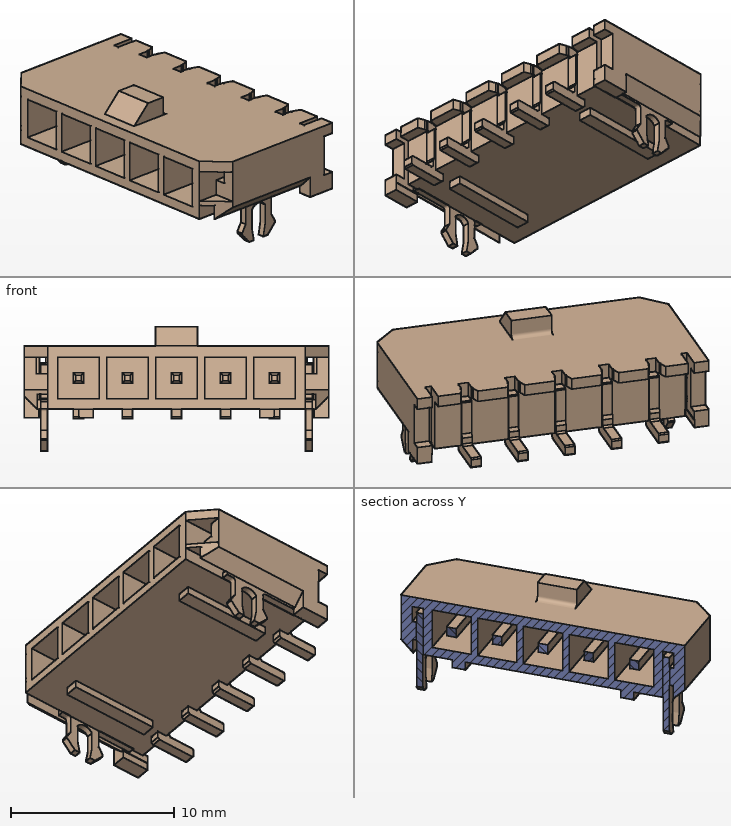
import cadquery as cq
import math

circuits = 5
pitch = 3.0
body_width = 18.65
body_height = 3.87
wall_back = 9.23
roof_back = 9.91
roof_underside = 3.17
corner_chamfer = 1.44
half_width = body_width / 2
pin_places = [(i - (circuits - 1) / 2) * pitch for i in range(circuits)]
sides = (-1, 1)

cavity_size = 2.54
cavity_depth = 7.5
contact_z = 1.91

latch_width = 2.58
latch_top = 5.05
latch_front = 0.80
latch_crest = 2.0
latch_back = 3.28
latch_fillet = 0.28

bevel = 0.8
foot_front = 8.02
foot_inner = 8.4
foot_top = 0.58
standoff_bottom = -0.53
rail_inner, rail_outer = 5.09, 5.97
rail_front, rail_back = 1.71, 7.71

pocket_inner = half_width - corner_chamfer
channel_outer = half_width - bevel
channel_top = 0.92
corner_floor = 1.2
window_outer = 8.57
window_bottom = 2.18
pocket_back = 8.42
rear_slot_inner, rear_slot_outer = 8.0, 8.37

pin_size = 0.64
pin_tip = 2.5
pin_tip_chamfer = 0.16
pin_end = 11.35
pin_post_front = 8.57
pin_post_back = 9.36
pin_post_top = 3.0
pin_top_chamfer = 0.07
pin_bottom = -0.59
pin_heel_back = 9.46
pin_heel_low, pin_heel_high = 0.59, 0.83
pin_bend = 0.12
pin_edge = 0.13
tail_height = 0.67
tail_end_bevel = 0.09

notch_mouth = 1.1
notch_width = 0.76
notch_waist = 9.46
notch_floor = 9.29

clip_thickness = 0.43
clip_top = 2.84
clip_front = 3.1
clip_top_bevel = 0.11
shoulder_front = 2.9
shoulder_mid_front = 2.96
shoulder_heights = (0.68, 0.565, 0.45)
shoulder_bottom = 0.04
shoulder_fillet = 0.17
fork_y = 4.615
fork_half = 1.095
fork_bottom = -2.57
barb_half = 1.4
barb_start = -1.28
barb_high, barb_low = -1.8, -1.9
fork_tip_half = 0.78
fork_gap_half = 0.55
fork_gap_tip_half = 0.4
fork_gap_taper = -1.75
fork_arch_radius = 1.3 / 2
fork_arch_top = -0.17


def box(x0, x1, y0, y1, z0, z1):
    """Box from its limits; the two X limits may come in either order."""
    low = min(x0, x1)
    return cq.Workplane("XY").box(abs(x1 - x0), y1 - y0, z1 - z0, centered=False).translate((low, y0, z0))


def side_profile(x0):
    """Sketch plane with local axes Y and Z; extrudes toward +X."""
    return cq.Workplane("YZ", origin=(x0, 0, 0))


def body_shell():
    shell = box(-half_width, half_width, 0, roof_back, 0, body_height)
    shell = shell.edges("|Z and <Y").chamfer(corner_chamfer)
    shell = shell.cut(box(-half_width, half_width, wall_back, roof_back, 0, roof_underside))
    for side in sides:
        wedge = (
            cq.Workplane("XZ")
            .polyline([(side * half_width, 0), (side * half_width, bevel), (side * channel_outer, 0)])
            .close()
            .extrude(-foot_front)
        )
        shell = shell.cut(wedge)
    return shell


def latch():
    return (
        side_profile(-latch_width / 2)
        .moveTo(latch_front, body_height)
        .lineTo(latch_crest, latch_top)
        .lineTo(latch_back, latch_top)
        .lineTo(latch_back, body_height + latch_fillet)
        .radiusArc((latch_back + latch_fillet, body_height), -latch_fillet)
        .close()
        .extrude(latch_width)
    )


def standoffs(side):
    foot = box(side * foot_inner, side * half_width, foot_front, roof_back, standoff_bottom, 0)
    heel = box(side * rear_slot_outer, side * half_width, foot_front, roof_back, 0, foot_top)
    rail = box(side * rail_inner, side * rail_outer, rail_front, rail_back, standoff_bottom, 0)
    return heel, foot, rail


def clip_pocket(side):
    """Openings that take one retention clip, and the relieved front corner."""
    inner = side * pocket_inner
    clip_outer = side * (pocket_inner + clip_thickness)
    return (
        box(inner, side * half_width, 0, corner_chamfer, corner_floor, roof_underside),
        box(inner, side * window_outer, corner_chamfer, pocket_back, window_bottom, roof_underside),
        box(inner, clip_outer, clip_front, pocket_back, channel_top, window_bottom),
        box(inner, side * channel_outer, 0, foot_front, 0, channel_top),
        box(inner, side * channel_outer, foot_front, pocket_back, foot_top, channel_top),
        box(inner, clip_outer, foot_front, pocket_back, 0, foot_top),
        box(side * rear_slot_inner, side * rear_slot_outer, pocket_back, roof_back, 0, body_height),
    )


def contact_openings(x):
    """Cavity, pin hole, post slot and roof notch of one circuit."""
    cavity_half = cavity_size / 2
    pin_half = pin_size / 2
    cavity = box(
        x - cavity_half, x + cavity_half, 0, cavity_depth, contact_z - cavity_half, contact_z + cavity_half
    )
    hole = box(
        x - pin_half, x + pin_half, cavity_depth, pin_post_front, contact_z - pin_half, contact_z + pin_half
    )
    slot = box(x - pin_half, x + pin_half, pin_post_front, roof_back, 0, body_height)
    notch = (
        cq.Workplane("XY", origin=(x, 0, roof_underside))
        .polyline([
            (-notch_mouth / 2, roof_back),
            (-notch_width / 2, notch_waist),
            (-notch_width / 2, notch_floor),
            (notch_width / 2, notch_floor),
            (notch_width / 2, notch_waist),
            (notch_mouth / 2, roof_back),
        ])
        .close()
        .extrude(body_height - roof_underside)
    )
    return cavity, hole, slot, notch


def make_housing():
    housing = body_shell().union(latch())
    for side in sides:
        for standoff in standoffs(side):
            housing = housing.union(standoff)
        for opening in clip_pocket(side):
            housing = housing.cut(opening)
    for x in pin_places:
        for opening in contact_openings(x):
            housing = housing.cut(opening)
    return housing


def make_pin(x):
    """Contact: square mating blade, upright post and solder tail to the rear."""
    half = pin_size / 2
    tail_top = pin_bottom + tail_height
    post_and_tail = (
        side_profile(x - half)
        .polyline([
            (pin_post_front, pin_post_top - pin_top_chamfer),
            (pin_post_front + pin_top_chamfer, pin_post_top),
            (pin_post_back - pin_top_chamfer, pin_post_top),
            (pin_post_back, pin_post_top - pin_top_chamfer),
            (pin_post_back, pin_heel_high),
            (pin_heel_back, pin_heel_low),
            (pin_heel_back, tail_top + pin_bend),
            (pin_heel_back + pin_bend, tail_top),
            (pin_end - tail_end_bevel, tail_top),
            (pin_end, tail_top - tail_end_bevel),
            (pin_end, pin_bottom + tail_end_bevel),
            (pin_end - tail_end_bevel, pin_bottom),
            (pin_post_front + pin_edge, pin_bottom),
            (pin_post_front, pin_bottom + pin_edge),
        ])
        .close()
        .extrude(pin_size)
    )
    blade = box(x - half, x + half, pin_tip, pin_post_front, contact_z - half, contact_z + half)
    blade = blade.faces("<Y").chamfer(pin_tip_chamfer)
    return post_and_tail.union(blade)


def make_clip(side):
    """Flat plate held in the side wall, with a barbed two-leg fork below."""
    slope_top, slope_mid, slope_bottom = shoulder_heights
    front_leg = fork_y - fork_half
    back_leg = fork_y + fork_half
    fillet_end = shoulder_bottom - shoulder_fillet
    arch_centre = fork_arch_top - fork_arch_radius
    arch_spring = arch_centre + math.sqrt(fork_arch_radius**2 - fork_gap_half**2)
    outline = (
        side_profile(min(side * pocket_inner, side * (pocket_inner + clip_thickness)))
        .moveTo(pocket_back, clip_top)
        .lineTo(clip_front + clip_top_bevel, clip_top)
        .lineTo(clip_front, clip_top - clip_top_bevel)
        .lineTo(clip_front, slope_top)
        .lineTo(shoulder_mid_front, slope_mid)
        .lineTo(shoulder_front, slope_bottom)
        .lineTo(shoulder_front, shoulder_bottom)
        .lineTo(front_leg - shoulder_fillet, shoulder_bottom)
        .radiusArc((front_leg, fillet_end), shoulder_fillet)
        .lineTo(front_leg, barb_start)
        .lineTo(fork_y - barb_half, barb_high)
        .lineTo(fork_y - barb_half, barb_low)
        .lineTo(fork_y - fork_tip_half, fork_bottom)
        .lineTo(fork_y - fork_gap_tip_half, fork_bottom)
        .lineTo(fork_y - fork_gap_half, fork_gap_taper)
        .lineTo(fork_y - fork_gap_half, arch_spring)
        .threePointArc((fork_y, fork_arch_top), (fork_y + fork_gap_half, arch_spring))
        .lineTo(fork_y + fork_gap_half, fork_gap_taper)
        .lineTo(fork_y + fork_gap_tip_half, fork_bottom)
        .lineTo(fork_y + fork_tip_half, fork_bottom)
        .lineTo(fork_y + barb_half, barb_low)
        .lineTo(fork_y + barb_half, barb_high)
        .lineTo(back_leg, barb_start)
        .lineTo(back_leg, fillet_end)
        .radiusArc((back_leg + shoulder_fillet, shoulder_bottom), shoulder_fillet)
        .lineTo(pocket_back, shoulder_bottom)
        .close()
    )
    return outline.extrude(clip_thickness)


housing = make_housing()
pins = [make_pin(x) for x in pin_places]
clips = [make_clip(side) for side in sides]

result = cq.Compound.makeCompound([
    housing.val(),
    *[pin.val() for pin in pins],
    *[clip.val() for clip in clips],
])